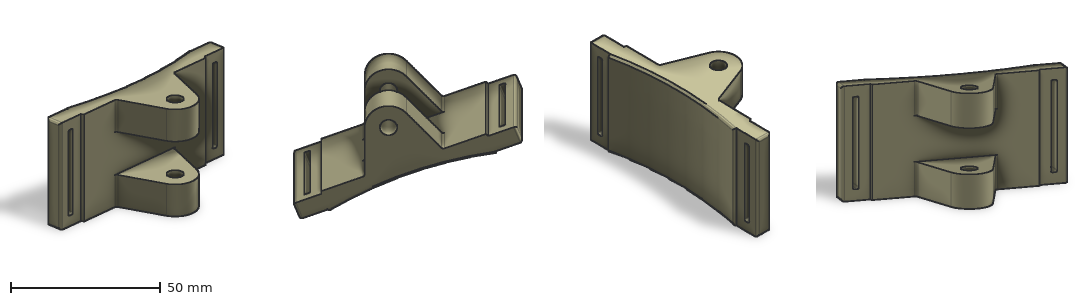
import cadquery as cq
import math

height = 40.0
half_length = 40.0

tab_front = 1.0
tab_back = 7.2
tab_start = 30.0
edge_radius = 1.0

pad_back = 8.2
pad_back_chamfer = 0.5
pad_sag = 3.2

slot_height = 32.0
slot_width = 2.2
slot_corner_radius = 0.6
slot_y = (tab_start + half_length) / 2

lug_end_radius = 8.0
lug_center_x = 22.2
lug_root_half_width = 14.0
lug_gap = 16.0
lug_root_radius = 1.0
pin_hole_diameter = 5.8


def centered_prism(outline, prism_height):
    """Extrude a closed XY outline symmetrically about Z = 0."""
    return outline.extrude(prism_height / 2, both=True)


def make_tabs():
    """Flat bar whose two outer ends are rounded on every edge."""
    bar = cq.Workplane("XY").box(tab_back - tab_front, 2 * half_length, height)
    bar = bar.translate(((tab_front + tab_back) / 2, 0, 0))
    return bar.faces("<Y or >Y").edges().fillet(edge_radius)


def make_pad():
    """Thicker middle with a concave cylindrical front face."""
    outline = (
        cq.Workplane("XY")
        .moveTo(0, -tab_start)
        .threePointArc((pad_sag, 0), (0, tab_start))
        .lineTo(tab_back, tab_start)
        .lineTo(pad_back, tab_start - pad_back_chamfer)
        .lineTo(pad_back, pad_back_chamfer - tab_start)
        .lineTo(tab_back, -tab_start)
        .close()
    )
    pad = centered_prism(outline, height)
    arcs = pad.edges("%CIRCLE")
    end_edge = pad.edges("|Z").edges(cq.selectors.NearestToPointSelector((0, -tab_start, 0)))
    return arcs.add(end_edge).fillet(edge_radius)


def make_lugs():
    """Two tapered lugs with round ends and a pin hole."""
    root_distance = math.hypot(lug_center_x - pad_back, lug_root_half_width)
    root_angle = math.atan2(lug_root_half_width, pad_back - lug_center_x)
    tangent_angle = root_angle - math.acos(lug_end_radius / root_distance)
    tangent_x = lug_center_x + lug_end_radius * math.cos(tangent_angle)
    tangent_y = lug_end_radius * math.sin(tangent_angle)
    outline = (
        cq.Workplane("XY")
        .moveTo(pad_back, -lug_root_half_width)
        .lineTo(tangent_x, -tangent_y)
        .threePointArc((lug_center_x + lug_end_radius, 0), (tangent_x, tangent_y))
        .lineTo(pad_back, lug_root_half_width)
        .lineTo(tab_back, lug_root_half_width)
        .lineTo(tab_back, -lug_root_half_width)
        .close()
    )
    gap = cq.Workplane("XY").box(2 * lug_center_x, 2 * half_length, lug_gap)
    gap = gap.translate((pad_back + lug_center_x, 0, 0))
    pin_hole = centered_prism(
        cq.Workplane("XY").center(lug_center_x, 0).circle(pin_hole_diameter / 2), height
    )
    return centered_prism(outline, height).cut(gap).cut(pin_hole)


def make_slot(y):
    """Cutter for one upright strap slot with rounded corners."""
    slot = cq.Workplane("XY").box(2 * tab_back, slot_width, slot_height)
    return slot.edges("|X").fillet(slot_corner_radius).translate((tab_front, y, 0))


def round_lug_roots(body):
    """Fillet the inner corners where the lug flanks meet the back of the pad."""
    margin = 0.1
    roots = body.edges("|Z").edges(
        cq.selectors.BoxSelector(
            (pad_back - margin, -lug_root_half_width - margin, -height),
            (pad_back + margin, lug_root_half_width + margin, height),
        )
    )
    return roots.fillet(lug_root_radius)


middle = cq.Workplane("XY").box(4 * pad_back, 2 * tab_start, 2 * height)
body = make_tabs().cut(middle).union(make_pad()).union(make_lugs())
result = round_lug_roots(body)
for side in (-1, 1):
    result = result.cut(make_slot(side * slot_y))